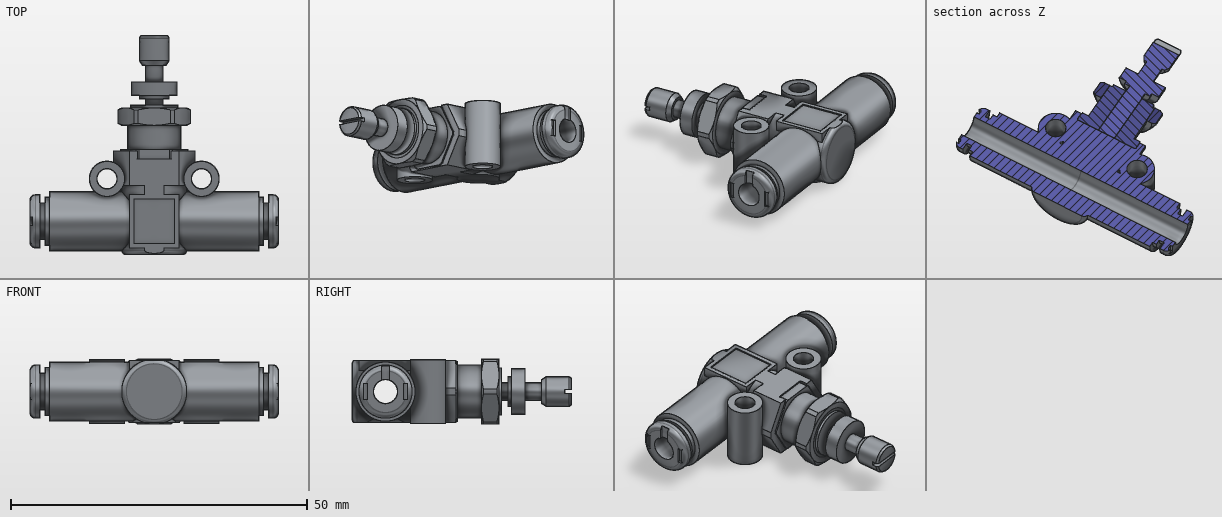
import cadquery as cq
import math


length = 42.0
tube_radius = 5.0
tube_half_length = 17.7
bore_radius = 2.0
collet_radius = 4.07
collet_end = 18.45
neck_radius = 3.1
neck_end = 19.3
sleeve_radius = 4.5
sleeve_rounding = 0.95
tool_slot_depth = 0.4
tool_slot_width = 1.43
tool_slot_reach = 4.3
grip_slot_inner = 3.02
grip_slot_outer = 3.75
grip_slot_height = 2.7

core_radius = 5.5
core_end = -5.63
core_rounding = 0.8
half_height = 5.25
block_start = 6.1
block_end = 11.9
block_half_width = 6.9
block_top_half_width = 4.2
foot_radius = 3.6

pad_half_length = 4.5
pad_bottom = 3.4
label_border = 0.75
label_depth = 0.2

eye_x = 8.0
eye_y = 7.2
eye_radius = 3.0
eye_hole_radius = 1.7
eye_half_height = 5.4

flange_flats = 10.1
flange_corner_radius = 5.65
flange_start = 10.55
flange_end = 12.15
notch_half_width = 2.85
barrel_radius = 4.5
tip_radius = 4.0
tip_end = 19.6

nut_flats = 11.0
nut_corner_radius = 6.15
nut_start = 16.2
nut_end = 19.15
nut_chamfer_height = 0.35

stem_radius = 1.5
shoulder_start = 20.65
collar_start = 21.25
collar_end = 23.55
collar_radius = 3.85
knob_start = 26.35
knob_end = 31.37
knob_radius = 2.5
knob_neck_radius = 2.0
knob_neck_taper = 0.8
knob_edge_height = 0.38
knob_edge_inset = 0.25
driver_slot_width = 0.65
driver_slot_depth = 1.1


def y_prism(outline, start, end):
    """Extrude a list of (x, z) points along Y."""
    plane = cq.Plane(origin=(0, start, 0), xDir=(1, 0, 0), normal=(0, -1, 0))
    return cq.Workplane(plane).polyline(outline).close().extrude(start - end)


def y_cylinder(radius, start, end):
    plane = cq.Plane(origin=(0, start, 0), xDir=(1, 0, 0), normal=(0, -1, 0))
    return cq.Workplane(plane).circle(radius).extrude(start - end)


def y_turned(profile):
    """Revolve (radius, y) points around the branch axis."""
    return cq.Workplane("XY").polyline(profile).close().revolve(360, (0, 0), (0, 1))


def y_hexagon(flats, start, end):
    """Hexagonal prism along Y with two of its flats facing +Z and -Z."""
    corner = flats / math.sqrt(3)
    angles = [math.radians(60 * i) for i in range(6)]
    outline = [(corner * math.cos(a), corner * math.sin(a)) for a in angles]
    return y_prism(outline, start, end)


def block(x_range, y_range, z_range):
    """Box spanning the given (low, high) ranges."""
    low, high = zip(x_range, y_range, z_range)
    size = [h - l for l, h in zip(low, high)]
    return cq.Workplane("XY").box(*size, centered=False).translate(low)


def make_flange():
    """Hexagonal bonnet flange with its corners turned down."""
    hexagon = y_hexagon(flange_flats, flange_start, flange_end)
    return hexagon.intersect(y_cylinder(flange_corner_radius, flange_start, flange_end))


def make_tube_end():
    """Half of the tube run with its release sleeve, pointing along -X."""
    tip = length / 2
    profile = [
        (0, 0),
        (0, tube_radius),
        (-tube_half_length, tube_radius),
        (-tube_half_length, collet_radius),
        (-collet_end, collet_radius),
        (-collet_end, neck_radius),
        (-neck_end, neck_radius),
        (-neck_end, sleeve_radius),
        (-tip, sleeve_radius),
        (-tip, 0),
    ]
    end = cq.Workplane("XY").polyline(profile).close().revolve(360, (0, 0), (1, 0))
    end = end.faces("<X").edges().fillet(sleeve_rounding)

    slot_x = (-tip, -tip + tool_slot_depth)
    end = end.cut(block(slot_x, (-tool_slot_width / 2, tool_slot_width / 2), (0, tool_slot_reach)))
    grip_z = (-grip_slot_height / 2, grip_slot_height / 2)
    for grip_y in [(grip_slot_inner, grip_slot_outer), (-grip_slot_outer, -grip_slot_inner)]:
        end = end.cut(block(slot_x, grip_y, grip_z))
    return end


def make_core():
    """Round core along the branch, rounded at its closed end and cut flat top and bottom."""
    core = y_cylinder(core_radius, core_end, block_start)
    core = core.faces("<Y").edges().fillet(core_rounding)
    slab = block((-core_radius, core_radius), (core_end, block_start), (-half_height, half_height))
    return core.intersect(slab)


def make_branch_block():
    """Wide six-sided block with 60 degree flanks and narrow sides."""
    side_half_height = half_height - (block_half_width - block_top_half_width) * math.sqrt(3)
    outline = [
        (block_half_width, side_half_height),
        (block_top_half_width, half_height),
        (-block_top_half_width, half_height),
        (-block_half_width, side_half_height),
        (-block_half_width, -side_half_height),
        (-block_top_half_width, -half_height),
        (block_top_half_width, -half_height),
        (block_half_width, -side_half_height),
    ]
    return y_prism(outline, block_start, block_end)


def make_label_pad():
    pad_x = (-block_top_half_width, block_top_half_width)
    pad_y = (-pad_half_length, pad_half_length)
    return block(pad_x, pad_y, (pad_bottom, half_height))


def make_label_recess():
    half_x = block_top_half_width - label_border
    half_y = pad_half_length - label_border
    return block((-half_x, half_x), (-half_y, half_y), (half_height - label_depth, half_height))


def eye_cylinders(radius):
    eyes = cq.Workplane("XY").workplane(offset=-eye_half_height)
    eyes = eyes.pushPoints([(-eye_x, eye_y), (eye_x, eye_y)])
    return eyes.circle(radius).extrude(2 * eye_half_height)


def make_housing():
    tube_end = make_tube_end()
    foot = cq.Workplane("XY").circle(foot_radius).extrude(-half_height)
    housing = tube_end.union(tube_end.mirror("YZ"))
    for feature in [make_core(), make_branch_block(), make_label_pad(), foot, eye_cylinders(eye_radius)]:
        housing = housing.union(feature)

    bore = cq.Workplane("YZ").circle(bore_radius).extrude(length / 2, both=True)
    notch_x = (-notch_half_width, notch_half_width)
    flange_notch = block(notch_x, (flange_start, block_end), (0, half_height))
    for hollow in [bore, eye_cylinders(eye_hole_radius), make_label_recess(), make_flange(), flange_notch]:
        housing = housing.cut(hollow)
    return housing


def make_bonnet():
    """Hexagonal flange and threaded barrel, bored through for the needle stem."""
    barrel = y_cylinder(barrel_radius, flange_end, nut_end)
    tip = y_cylinder(tip_radius, nut_end, tip_end)
    bonnet = make_flange().union(barrel).union(tip)
    return bonnet.cut(y_cylinder(stem_radius, flange_start, tip_end))


def make_panel_nut():
    """Hexagon nut with turned corners and cone-chamfered ends, bored to fit the barrel."""
    face_radius = nut_flats / 2
    envelope = y_turned([
        (0, nut_start),
        (face_radius, nut_start),
        (nut_corner_radius, nut_start + nut_chamfer_height),
        (nut_corner_radius, nut_end - nut_chamfer_height),
        (face_radius, nut_end),
        (0, nut_end),
    ])
    nut = y_hexagon(nut_flats, nut_start, nut_end).intersect(envelope)
    return nut.cut(y_cylinder(barrel_radius, nut_start, nut_end))


def make_needle():
    """Turned needle: stem, stepped collar and slotted knob."""
    needle = y_turned([
        (0, flange_start),
        (stem_radius, flange_start),
        (stem_radius, shoulder_start),
        (knob_radius, shoulder_start),
        (knob_radius, collar_start),
        (collar_radius, collar_start),
        (collar_radius, collar_end),
        (stem_radius, collar_end),
        (stem_radius, knob_start),
        (knob_neck_radius, knob_start),
        (knob_radius, knob_start + knob_neck_taper),
        (knob_radius, knob_end - knob_edge_height),
        (knob_radius - knob_edge_inset, knob_end),
        (0, knob_end),
    ])
    driver_slot = block(
        (-knob_radius, knob_radius),
        (knob_end - driver_slot_depth, knob_end),
        (-driver_slot_width / 2, driver_slot_width / 2),
    )
    return needle.cut(driver_slot)


housing = make_housing()
bonnet = make_bonnet()
panel_nut = make_panel_nut()
needle = make_needle()

parts = [housing, bonnet, panel_nut, needle]
result = cq.Compound.makeCompound([part.solids().val() for part in parts])